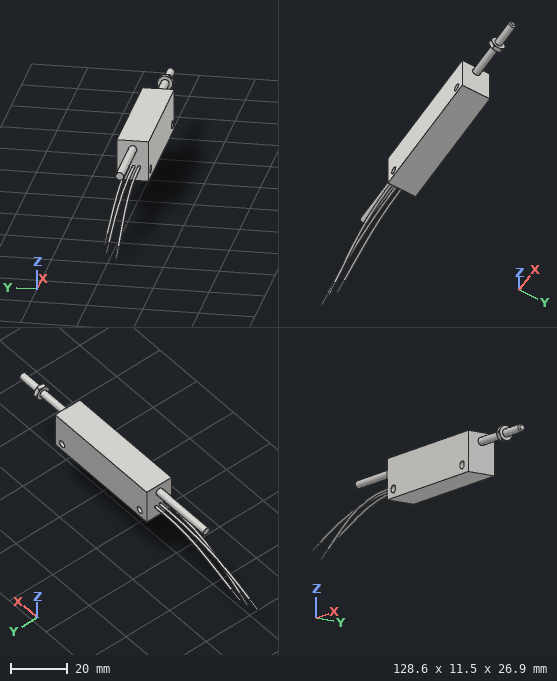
import cadquery as cq
import math

body_length = 50.0
body_width = 11.5
body_height = 15.0

hole_diameter = 2.7
hole_end_distance = 3.9
hole_height = 3.2

shaft_diameter = 3.0
shaft_axis_depth = 3.3
shaft_height = body_height - shaft_axis_depth
shaft_left_length = 25.7
shaft_right_length = 25.0
shaft_chamfer = 0.5

nut_across_flats = 5.5
nut_across_corners = nut_across_flats / math.cos(math.radians(30))
nut_thickness = 1.8
nut_center_distance = 14.1
nut_bevel_angle = 30

insulation_diameter = 1.0
core_diameter = 0.7
core_length = 5.0
wire_exit_height = 5.3
wire_lead_length = 5.0
wire_pitch = 1.99
middle_wire_y = -0.4
wire_embed = 0.6

wire_shapes = [
    (63.0, 21.3, 14.5),
    (101.3, 22.8, 5.0),
    (49.5, 33.9, 10.3),
]


def make_body():
    body = cq.Workplane("XY").box(
        body_length, body_width, body_height, centered=(False, True, False)
    )
    hole_points = [(x, hole_height) for x in (hole_end_distance, body_length - hole_end_distance)]
    holes = (
        cq.Workplane("XZ")
        .pushPoints(hole_points)
        .circle(hole_diameter / 2)
        .extrude(body_width, both=True)
    )
    return body.cut(holes)


def make_shaft():
    shaft_length = shaft_left_length + body_length + shaft_right_length
    return (
        cq.Workplane("YZ", origin=(-shaft_left_length, 0, shaft_height))
        .circle(shaft_diameter / 2)
        .extrude(shaft_length)
        .faces(">X")
        .chamfer(shaft_chamfer)
    )


def make_nut():
    left_face_x = body_length + nut_center_distance - nut_thickness / 2
    hexagon = (
        cq.Workplane("YZ", origin=(left_face_x, 0, shaft_height))
        .polygon(6, nut_across_corners)
        .extrude(nut_thickness)
    )
    flat_radius = nut_across_flats / 2
    corner_radius = nut_across_corners / 2
    bevel_depth = (corner_radius - flat_radius) * math.tan(math.radians(nut_bevel_angle))
    bevelled_disc = (
        cq.Workplane("XZ", origin=(left_face_x, 0, shaft_height))
        .polyline([
            (0, 0),
            (0, flat_radius),
            (bevel_depth, corner_radius),
            (nut_thickness - bevel_depth, corner_radius),
            (nut_thickness, flat_radius),
            (nut_thickness, 0),
        ])
        .close()
        .revolve(360, (0, 0), (1, 0))
    )
    return hexagon.intersect(bevelled_disc)


def make_wire(y, bend_radius, bend_angle, insulated_run):
    def bend_point(angle):
        x = -wire_lead_length - bend_radius * math.sin(angle)
        z = wire_exit_height - bend_radius * (1 - math.cos(angle))
        return (x, z)

    end_angle = math.radians(bend_angle)
    bend_end_x, bend_end_z = bend_point(end_angle)
    direction_x = -math.cos(end_angle)
    direction_z = -math.sin(end_angle)
    run_end_x = bend_end_x + insulated_run * direction_x
    run_end_z = bend_end_z + insulated_run * direction_z

    path = (
        cq.Workplane("XZ", origin=(0, y, 0))
        .moveTo(wire_embed, wire_exit_height)
        .lineTo(-wire_lead_length, wire_exit_height)
        .threePointArc(bend_point(end_angle / 2), (bend_end_x, bend_end_z))
        .lineTo(run_end_x, run_end_z)
    )
    insulation = (
        cq.Workplane("YZ", origin=(wire_embed, y, wire_exit_height))
        .circle(insulation_diameter / 2)
        .sweep(path)
    )
    core = cq.Solid.makeCylinder(
        core_diameter / 2,
        core_length,
        cq.Vector(run_end_x, y, run_end_z),
        cq.Vector(direction_x, 0, direction_z),
    )
    return insulation.union(cq.Workplane(core))


result = make_body().union(make_shaft()).union(make_nut())
for index, wire_shape in enumerate(wire_shapes):
    wire_y = middle_wire_y + (1 - index) * wire_pitch
    result = result.union(make_wire(wire_y, *wire_shape))